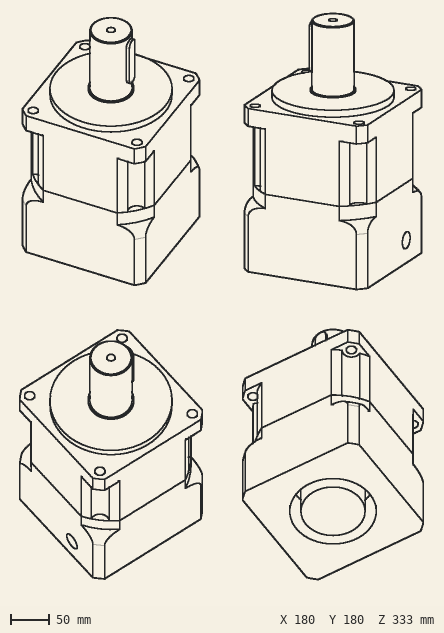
import cadquery as cq
import math


SQUARE_SIDE = 180.0
CORNER_RADIUS = 120.0
CORNER_RELIEF_RADIUS = 105.0

TOTAL_HEIGHT = 333.0
PILOT_TOP = 235.8
PILOT_HEIGHT = 9.5
FLANGE_THICKNESS = 24.5
SEAM_HEIGHT = 111.2
CORNER_BAND_HEIGHT = 19.5
FLANGE_TOP = PILOT_TOP - PILOT_HEIGHT
FLANGE_BOTTOM = FLANGE_TOP - FLANGE_THICKNESS
CORNER_BAND_BOTTOM = SEAM_HEIGHT - CORNER_BAND_HEIGHT
SHOULDER_ROUND = CORNER_RADIUS - CORNER_RELIEF_RADIUS

PILOT_RADIUS = 80.0
COLLAR_RADIUS = 30.0
COLLAR_HEIGHT = 1.0
SHAFT_RADIUS = 27.5
SHAFT_CHAMFER = 1.3
CENTER_HOLE_RADIUS = 5.3
CENTER_HOLE_DEPTH = 20.0
DRILL_POINT_ANGLE = 118.0

KEY_WIDTH = 16.0
KEY_LENGTH = 70.0
KEY_TOP_GAP = 6.3
KEY_OUTER_X = 31.0
KEY_THICKNESS = 10.0

MOUNT_HOLE_OFFSET = 76.0
MOUNT_HOLE_RADIUS = 6.5
SCREW_NOTCH_RADIUS = 12.3

RECESS_RADIUS = 56.5
HUB_RADIUS = 42.0
RECESS_DEPTH = 66.5
ACCESS_HOLE_RADIUS = 11.3
ACCESS_HOLE_Y = -34.0
ACCESS_HOLE_Z = 31.5


def cylinder(radius, bottom, top):
    """Upright cylinder on the gearbox axis."""
    return cq.Workplane("XY").workplane(offset=bottom).circle(radius).extrude(top - bottom)


def square_prism(bottom, top):
    """Sharp-cornered square prism on the gearbox axis."""
    return cq.Workplane("XY").workplane(offset=bottom).rect(SQUARE_SIDE, SQUARE_SIDE).extrude(top - bottom)


def square_block(corner_radius, bottom, top):
    """Square block whose corners are turned to a radius about the gearbox axis."""
    return square_prism(bottom, top).intersect(cylinder(corner_radius, bottom, top))


def mount_cylinders(radius, bottom, top):
    """Four upright cylinders at the mounting hole positions."""
    return (
        cq.Workplane("XY")
        .workplane(offset=bottom)
        .rect(2 * MOUNT_HOLE_OFFSET, 2 * MOUNT_HOLE_OFFSET, forConstruction=True)
        .vertices()
        .circle(radius)
        .extrude(top - bottom)
    )


def make_output_shaft():
    """Shaft with a chamfered end, a base collar and a drilled center hole."""
    shaft = cylinder(SHAFT_RADIUS, PILOT_TOP, TOTAL_HEIGHT).faces(">Z").chamfer(SHAFT_CHAMFER)
    collar = cylinder(COLLAR_RADIUS, PILOT_TOP, PILOT_TOP + COLLAR_HEIGHT)
    hole_bottom = TOTAL_HEIGHT - CENTER_HOLE_DEPTH
    drill_point = CENTER_HOLE_RADIUS / math.tan(math.radians(DRILL_POINT_ANGLE / 2))
    center_hole = (
        cq.Workplane("XZ")
        .moveTo(0, TOTAL_HEIGHT)
        .lineTo(CENTER_HOLE_RADIUS, TOTAL_HEIGHT)
        .lineTo(CENTER_HOLE_RADIUS, hole_bottom)
        .lineTo(0, hole_bottom - drill_point)
        .close()
        .revolve()
    )
    return shaft.union(collar).cut(center_hole)


def make_key():
    """Round-ended key, partly sunk into the shaft."""
    key_center_z = TOTAL_HEIGHT - KEY_TOP_GAP - KEY_LENGTH / 2
    return (
        cq.Workplane("YZ")
        .workplane(offset=KEY_OUTER_X - KEY_THICKNESS)
        .center(0, key_center_z)
        .slot2D(KEY_LENGTH, KEY_WIDTH, 90)
        .extrude(KEY_THICKNESS)
    )


def make_gear_housing():
    """Flanged housing with relieved corners, pilot, output shaft and key."""
    notched_body = square_block(CORNER_RELIEF_RADIUS, SEAM_HEIGHT, FLANGE_BOTTOM).cut(
        mount_cylinders(SCREW_NOTCH_RADIUS, SEAM_HEIGHT, FLANGE_BOTTOM)
    )
    flange = square_block(CORNER_RADIUS, FLANGE_BOTTOM, FLANGE_TOP).cut(
        mount_cylinders(MOUNT_HOLE_RADIUS, FLANGE_BOTTOM, FLANGE_TOP)
    )
    pilot = cylinder(PILOT_RADIUS, FLANGE_TOP, PILOT_TOP)
    return notched_body.union(flange).union(pilot).union(make_output_shaft()).union(make_key())


def make_input_housing():
    """Square housing with relieved, rounded corners, a coupling recess and an access hole."""
    shoulder_bottom = CORNER_BAND_BOTTOM - SHOULDER_ROUND
    arc_reach = SHOULDER_ROUND * math.sin(math.radians(45))
    relieved_envelope = (
        cq.Workplane("XZ")
        .lineTo(CORNER_RADIUS, 0)
        .lineTo(CORNER_RADIUS, shoulder_bottom)
        .threePointArc(
            (CORNER_RELIEF_RADIUS + arc_reach, shoulder_bottom + arc_reach),
            (CORNER_RELIEF_RADIUS, CORNER_BAND_BOTTOM),
        )
        .lineTo(CORNER_RELIEF_RADIUS, SEAM_HEIGHT)
        .lineTo(0, SEAM_HEIGHT)
        .close()
        .revolve()
    )
    recess = cylinder(RECESS_RADIUS, 0, RECESS_DEPTH).cut(cylinder(HUB_RADIUS, 0, RECESS_DEPTH))

    hub_side_x = -math.sqrt(HUB_RADIUS**2 - ACCESS_HOLE_Y**2)
    access_hole = (
        cq.Workplane("YZ")
        .workplane(offset=-SQUARE_SIDE / 2)
        .center(ACCESS_HOLE_Y, ACCESS_HOLE_Z)
        .circle(ACCESS_HOLE_RADIUS)
        .extrude(SQUARE_SIDE / 2 + hub_side_x)
        .cut(cylinder(HUB_RADIUS, 0, RECESS_DEPTH))
    )
    return square_prism(0, SEAM_HEIGHT).intersect(relieved_envelope).cut(recess).cut(access_hole)


gear_housing = make_gear_housing()
input_housing = make_input_housing()

result = cq.Compound.makeCompound([gear_housing.val(), input_housing.val()])